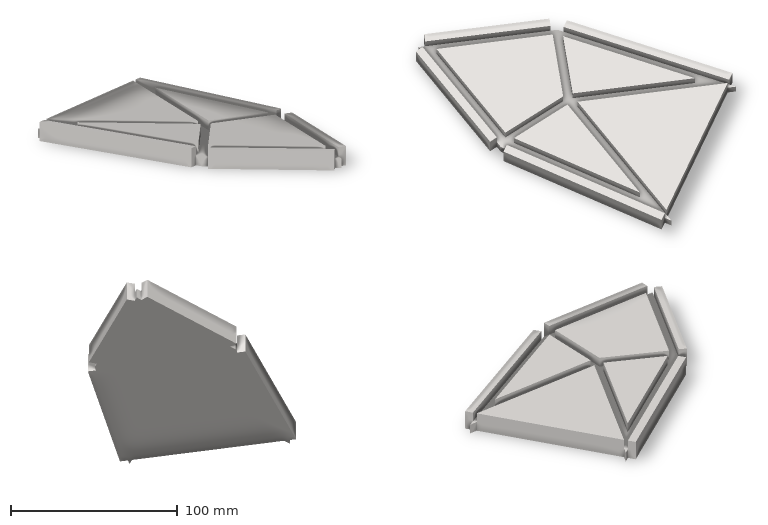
import math

import cadquery as cq

BASE_HEIGHT = 6.0
FULL_HEIGHT = 12.0

FRONT_ANGLE = math.radians(31.07)
APEX_X = 91.75
SIDE_CORNER_X = 24.75
REAR_CORNER_X = -76.15
SIDE_CORNER_Y = (APEX_X - SIDE_CORNER_X) * math.tan(FRONT_ANGLE)
REAR_CORNER_Y = -REAR_CORNER_X * math.tan(FRONT_ANGLE)

CHANNEL_WIDTH = 6.0
HALF_CHANNEL = CHANNEL_WIDTH / 2

REAR_X = -83.6
WALL_THICKNESS = 5.0
SIDE_WALL_END_X = SIDE_CORNER_X - HALF_CHANNEL
FRONT_WALL_CORNER_GAP = 4.1
FRONT_WALL_APEX_GAP = 4.0

JUNCTION = (0.0, 0.0)
APEX = (APEX_X, 0.0)
SIDE_CORNER = (SIDE_CORNER_X, SIDE_CORNER_Y)
REAR_CORNER = (REAR_CORNER_X, REAR_CORNER_Y)


def mirrored(point):
    """Reflect a point across the X axis."""
    return (point[0], -point[1])


def prism(points, height, outset=0.0):
    """Extrude a polygon up from Z = 0, its sides moved outward by outset with sharp corners."""
    outline = cq.Workplane("XY").polyline(points).close()
    if outset:
        outline = outline.offset2D(outset, "intersection")
    return outline.extrude(height)


def make_base():
    """Low plate reaching half a channel beyond the centre lines, ending in two sharp rear tips."""
    outline = [
        JUNCTION,
        REAR_CORNER,
        SIDE_CORNER,
        APEX,
        mirrored(SIDE_CORNER),
        mirrored(REAR_CORNER),
    ]
    return prism(outline, BASE_HEIGHT, HALF_CHANNEL)


def make_front_panel():
    """Kite-shaped raised panel."""
    outline = [JUNCTION, SIDE_CORNER, APEX, mirrored(SIDE_CORNER)]
    return prism(outline, FULL_HEIGHT, -HALF_CHANNEL)


def make_side_panel():
    """Triangular raised panel on the +Y side."""
    return prism([JUNCTION, REAR_CORNER, SIDE_CORNER], FULL_HEIGHT, -HALF_CHANNEL)


def make_rear_panel():
    """Triangular raised panel that fills the rear notch of the base."""
    point_x = -HALF_CHANNEL / math.sin(FRONT_ANGLE)
    half_width = (point_x - REAR_X) * math.tan(FRONT_ANGLE)
    outline = [(point_x, 0.0), (REAR_X, half_width), (REAR_X, -half_width)]
    return prism(outline, FULL_HEIGHT)


def make_side_wall():
    """Wall along the +Y side edge of the base, with ends square to the X axis."""
    slope = (SIDE_CORNER_Y - REAR_CORNER_Y) / (SIDE_CORNER_X - REAR_CORNER_X)
    stretch = math.hypot(1.0, slope)

    def edge_point(x, offset):
        return (x, SIDE_CORNER_Y + slope * (x - SIDE_CORNER_X) + offset * stretch)

    outer_offset = HALF_CHANNEL + WALL_THICKNESS
    outline = [
        edge_point(REAR_X, HALF_CHANNEL),
        edge_point(REAR_X, outer_offset),
        edge_point(SIDE_WALL_END_X, outer_offset),
        edge_point(SIDE_WALL_END_X, HALF_CHANNEL),
    ]
    return prism(outline, FULL_HEIGHT)


def make_front_wall():
    """Wall along the +Y front edge of the base, with ends square to that edge."""
    side_angle = math.atan2(REAR_CORNER_Y - SIDE_CORNER_Y, SIDE_CORNER_X - REAR_CORNER_X)
    corner_overhang = HALF_CHANNEL * math.tan((FRONT_ANGLE - side_angle) / 2)
    apex_overhang = HALF_CHANNEL / math.tan(FRONT_ANGLE)
    center_line_length = math.hypot(APEX_X - SIDE_CORNER_X, SIDE_CORNER_Y)

    near_apex = FRONT_WALL_APEX_GAP - apex_overhang
    near_corner = center_line_length + corner_overhang - FRONT_WALL_CORNER_GAP

    def edge_point(distance, offset):
        x = APEX_X - distance * math.cos(FRONT_ANGLE) + offset * math.sin(FRONT_ANGLE)
        y = distance * math.sin(FRONT_ANGLE) + offset * math.cos(FRONT_ANGLE)
        return (x, y)

    outer_offset = HALF_CHANNEL + WALL_THICKNESS
    outline = [
        edge_point(near_apex, HALF_CHANNEL),
        edge_point(near_apex, outer_offset),
        edge_point(near_corner, outer_offset),
        edge_point(near_corner, HALF_CHANNEL),
    ]
    return prism(outline, FULL_HEIGHT)


result = make_base().union(make_front_panel()).union(make_rear_panel())
for feature in (make_side_panel(), make_side_wall(), make_front_wall()):
    result = result.union(feature).union(feature.mirror("XZ"))